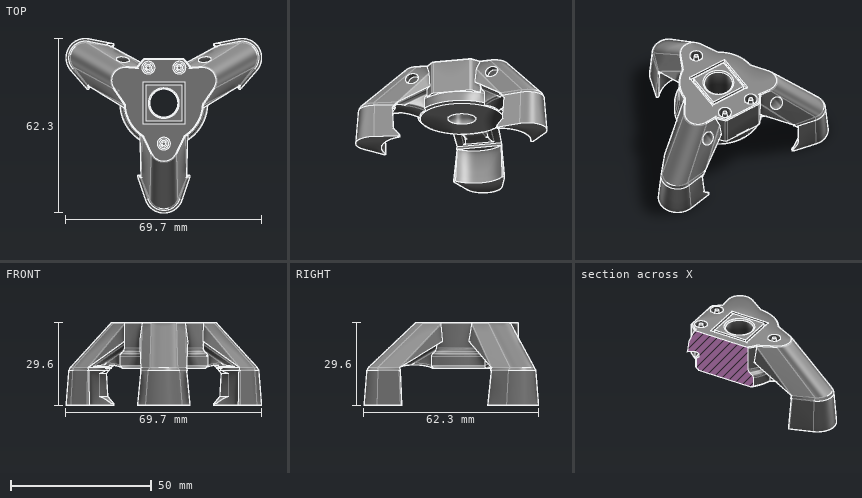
import cadquery as cq
import math

HEIGHT = 29.6
EDGE_BEVEL = 0.35

NECK_R = 14.1
RING_R = 15.7
RING_BOTTOM = 13.1
RING_BEVEL = 0.85
RING_SHOULDER = 17.45
SHOULDER_R = 1.45
NECK_BLEND_R = 1.7
BORE_D = 10.0
BORE_BEVEL = 0.5
GROOVE_OUTER = 15.0
GROOVE_INNER = 12.8
GROOVE_DEPTH = 1.4

PAD_Y = 15.9
PAD_TOP_HALF = 7.1
PAD_BASE_HALF = 9.75
PAD_BASE_Y = 12.7
PAD_CORNER_R = 1.05

SCREW_POINTS = ((0, -14.45), (5.5, 12.6), (-5.5, 12.6))
WELL_TOP_D = 4.6
WELL_FLOOR_D = 3.4
WELL_DEPTH = 4.2
PIN_TOP_D = 1.3
PIN_BASE_D = 2.3

LEG_TURNS = (0, 120, 240)
NOSE_CENTRE = 32.3
FOOT_HEIGHT = 12.35
FOOT_BASE = (0.0, NOSE_CENTRE, 6.9, 25.7, 9.55)
FOOT_TOP = (FOOT_HEIGHT, NOSE_CENTRE, 5.9, 26.15, 8.4)
ARM_BASE = (13.45, NOSE_CENTRE, 5.4, 26.45, 8.15)
ARM_TOP = (HEIGHT - EDGE_BEVEL, 16.05, 5.0, 11.5, 7.75)
PLATE_TOP = (HEIGHT, *ARM_TOP[1:])
ARM_EDGE_ROUND = 0.35
RECESS_D = 23.0
RECESS_CENTRE = 17.9
WALL_TIP_ROUND = 0.4

GUSSET_HALF = 8.6
GUSSET_START = 10.8
GUSSET_HEIGHT = 23.0

WEB_HALF = 4.2
WEB_START = 14.5
WEB_END = 27.9
WEB_BOTTOM = 13.25
WEB_ARCH_RISE = 1.1
WEB_ROUND = 0.7
WEB_BLEND_R = 1.4
WEB_ROOT = 10.45
WEB_ROOF = 23.7

CROSS_D = 4.6
CROSS_X = 14.6
CROSS_Z = 23.9
CROSS_START_Y = 11.15
CROSS_LENGTH = 13.95
NOTCH_FACE_X = 20.1
NOTCH_FACE_Y = 21.1
NOTCH_SLOPE = 0.85
NOTCH_INNER_Y = 17.45
NOTCH_OUTER_Y = 24.4
NOTCH_DEPTH = 6.3
NOTCH_HEIGHTS = (0.55, 3.15, 11.3, 13.1)
NOTCH_LOW_FLARE = 2.4
NOTCH_HIGH_FLARE = 1.7


def leg_outline(section, inset=0.0):
    """Rounded nose pointing to -Y with straight flared sides, moved inward by the inset."""
    height, centre, radius, back, half = section
    reach = back - centre
    span = math.hypot(half, reach)
    normal = math.atan2(-reach, half) - math.acos(radius / span)
    nx, ny = math.cos(normal), math.sin(normal)
    inner = radius - inset
    tangent = (inner * nx, inner * ny - centre)
    corner = (half - inset * nx, -back - inset * ny)
    return (
        cq.Workplane("XY", origin=(0, 0, height))
        .moveTo(-corner[0], corner[1])
        .lineTo(-tangent[0], tangent[1])
        .threePointArc((0, -centre - inner), tangent)
        .lineTo(*corner)
        .close()
        .wires()
        .val()
    )


def loft(*wires):
    return cq.Workplane(cq.Solid.makeLoft(list(wires), True))


def back_corner(section):
    """Corner of a section on the +X side, at the end nearest the hub axis."""
    height, _, _, back, half = section
    return cq.Vector(half, -back, height)


def gusset_corner():
    return cq.Vector(GUSSET_HALF, -GUSSET_START, GUSSET_HEIGHT)


def mirrored(point):
    return cq.Vector(-point.x, point.y, point.z)


def round_side_edges(solid, start, end, radius):
    """Round the straight edge from start to end and its mirror image across YZ."""
    middle = (start + end) * 0.5
    for point in (middle, mirrored(middle)):
        edge = cq.selectors.NearestToPointSelector(point.toTuple())
        solid = solid.edges(edge).fillet(radius)
    return solid


def make_gusset():
    """Triangular wedge filling the space between the arm and the hub."""
    corners = [back_corner(ARM_TOP), gusset_corner(), back_corner(ARM_BASE)]
    return loft(
        cq.Wire.makePolygon(corners, close=True),
        cq.Wire.makePolygon([mirrored(corner) for corner in corners], close=True),
    )


def web_slab(half_width):
    """Wedge from hub to foot with an arched lower edge."""
    middle = (WEB_START + WEB_END) / 2
    return (
        cq.Workplane("YZ")
        .moveTo(-WEB_ROOT, WEB_BOTTOM)
        .lineTo(-WEB_START, WEB_BOTTOM)
        .threePointArc((-middle, WEB_BOTTOM + WEB_ARCH_RISE), (-WEB_END, WEB_BOTTOM))
        .lineTo(-WEB_ROOT, WEB_ROOF)
        .close()
        .extrude(half_width, both=True)
    )


def make_web_blends():
    """Concave corners between the web's sides and the gusset's sloping underside."""
    start = cq.Vector(0, -GUSSET_START, GUSSET_HEIGHT)
    foot_corner = back_corner(ARM_BASE)
    run = cq.Vector(0, foot_corner.y, foot_corner.z) - start
    outer = WEB_HALF + WEB_BLEND_R
    waist = WEB_BLEND_R * (1 - math.sqrt(0.5))
    bar = (
        cq.Workplane(cq.Plane(origin=start, xDir=(1, 0, 0), normal=run))
        .moveTo(0, 0)
        .lineTo(outer, 0)
        .threePointArc((WEB_HALF + waist, -waist), (WEB_HALF, -WEB_BLEND_R))
        .lineTo(0, -WEB_BLEND_R)
        .close()
        .extrude(run.Length)
    )
    return bar.union(bar.mirror("YZ")).intersect(web_slab(outer))


def make_web():
    return web_slab(WEB_HALF).edges("%CIRCLE").fillet(WEB_ROUND).union(make_web_blends())


def make_foot():
    """Tapered foot with a round upright recess facing the hub."""
    recess = (
        cq.Workplane("XY")
        .center(0, -RECESS_CENTRE)
        .circle(RECESS_D / 2)
        .extrude(FOOT_HEIGHT)
    )
    foot = loft(leg_outline(FOOT_BASE), leg_outline(FOOT_TOP)).cut(recess)
    return round_side_edges(foot, back_corner(FOOT_BASE), back_corner(FOOT_TOP), WALL_TIP_ROUND)


def make_arm():
    arm = loft(leg_outline(ARM_BASE), leg_outline(ARM_TOP)).union(make_gusset())
    return round_side_edges(arm, back_corner(ARM_BASE), back_corner(ARM_TOP), ARM_EDGE_ROUND)


def make_leg():
    shoulder = loft(leg_outline(FOOT_TOP), leg_outline(ARM_BASE))
    cap = loft(leg_outline(ARM_TOP), leg_outline(PLATE_TOP, EDGE_BEVEL))
    return make_foot().union(shoulder).union(make_arm()).union(cap).union(make_web())


def make_hub():
    """Stepped hub turned about Z."""
    diagonal = math.sqrt(0.5)
    round_x = RING_R - SHOULDER_R * (1 - diagonal)
    round_z = RING_SHOULDER + SHOULDER_R * diagonal
    blend_x = NECK_R + NECK_BLEND_R * (1 - diagonal)
    blend_z = round_z + round_x - blend_x
    neck_z = blend_z + NECK_BLEND_R * diagonal
    return (
        cq.Workplane("XZ")
        .moveTo(0, RING_BOTTOM)
        .lineTo(RING_R - RING_BEVEL, RING_BOTTOM)
        .lineTo(RING_R, RING_BOTTOM + RING_BEVEL)
        .lineTo(RING_R, RING_SHOULDER)
        .tangentArcPoint((round_x, round_z), relative=False)
        .lineTo(blend_x, blend_z)
        .tangentArcPoint((NECK_R, neck_z), relative=False)
        .lineTo(NECK_R, HEIGHT - EDGE_BEVEL)
        .lineTo(NECK_R - EDGE_BEVEL, HEIGHT)
        .lineTo(0, HEIGHT)
        .close()
        .revolve(360, (0, 0, 0), (0, 1, 0))
    )


def make_pad():
    return (
        cq.Workplane("XY", origin=(0, 0, RING_SHOULDER))
        .polyline(
            [
                (-PAD_BASE_HALF, PAD_BASE_Y),
                (-PAD_TOP_HALF, PAD_Y),
                (PAD_TOP_HALF, PAD_Y),
                (PAD_BASE_HALF, PAD_BASE_Y),
                (0, 0),
            ]
        )
        .close()
        .extrude(HEIGHT - RING_SHOULDER)
        .edges("|Z and >Y")
        .fillet(PAD_CORNER_R)
        .faces(">Z")
        .chamfer(EDGE_BEVEL)
    )


def cut_bore(body):
    bore = cq.Workplane("XY").circle(BORE_D / 2).extrude(HEIGHT)
    mouth = cq.Solid.makeCone(
        BORE_D / 2, BORE_D / 2 + BORE_BEVEL, BORE_BEVEL, pnt=cq.Vector(0, 0, HEIGHT - BORE_BEVEL)
    )
    return body.cut(bore).cut(cq.Workplane(mouth))


def cut_square_groove(body):
    groove = (
        cq.Workplane("XY", origin=(0, 0, HEIGHT - GROOVE_DEPTH))
        .rect(GROOVE_OUTER, GROOVE_OUTER)
        .rect(GROOVE_INNER, GROOVE_INNER)
        .extrude(GROOVE_DEPTH)
    )
    return body.cut(groove)


def cut_screw_wells(body):
    """Tapered ring-shaped wells, each around a tapered pin level with the top face."""
    well = (
        cq.Workplane("XZ", origin=(0, 0, HEIGHT))
        .moveTo(PIN_TOP_D / 2, 0)
        .lineTo(PIN_BASE_D / 2, -WELL_DEPTH)
        .lineTo(WELL_FLOOR_D / 2, -WELL_DEPTH)
        .lineTo(WELL_TOP_D / 2, 0)
        .close()
        .revolve(360, (0, 0, 0), (0, 1, 0))
    )
    for x, y in SCREW_POINTS:
        body = body.cut(well.translate((x, y, 0)))
    return body


def notch_outline(y):
    """Trapezoid parallel to XZ that opens away from the wall end, skewed along Y."""
    face = NOTCH_FACE_X - NOTCH_SLOPE * (y - NOTCH_FACE_Y)
    low, ramp_top, roof, high = NOTCH_HEIGHTS
    points = [
        (face - NOTCH_DEPTH, low),
        (face - NOTCH_LOW_FLARE, low),
        (face, ramp_top),
        (face, roof),
        (face - NOTCH_HIGH_FLARE, high),
        (face - NOTCH_DEPTH, high),
    ]
    return cq.Wire.makePolygon([cq.Vector(x, y, z) for x, z in points], close=True)


def cut_rear_legs(body):
    """Cross hole and wall notch, mirrored onto both rear legs."""
    hole = (
        cq.Workplane("XZ", origin=(CROSS_X, CROSS_START_Y, 0))
        .center(0, CROSS_Z)
        .circle(CROSS_D / 2)
        .extrude(-CROSS_LENGTH)
    )
    notch = loft(notch_outline(NOTCH_INNER_Y), notch_outline(NOTCH_OUTER_Y))
    for tool in (hole, notch):
        body = body.cut(tool).cut(tool.mirror("YZ"))
    return body


body = make_hub().union(make_pad())
leg = make_leg()
for turn in LEG_TURNS:
    body = body.union(leg.rotate((0, 0, 0), (0, 0, 1), turn))
body = cut_bore(body)
body = cut_square_groove(body)
body = cut_screw_wells(body)
result = cut_rear_legs(body)